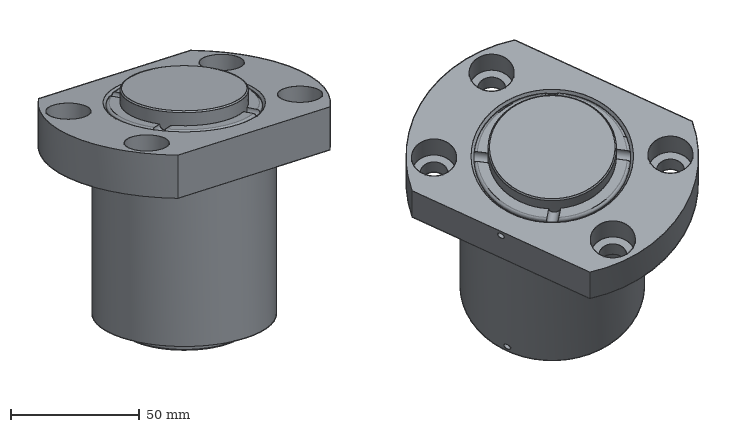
import cadquery as cq
import math

total_height = 100.0
shaft_diameter = 50.0
shaft_overhang = 6.0
shaft_chamfer = 0.6

body_diameter = 72.0
flange_diameter = 114.0
flange_width = 82.0
flange_thickness = 18.0
body_bottom = shaft_overhang
flange_top = total_height - shaft_overhang
flange_bottom = flange_top - flange_thickness

bolt_circle_radius = 46.0
bolt_angle = 60.0
bolt_hole_diameter = 11.0
counterbore_diameter = 17.5
counterbore_depth = 11.0

recess_top_diameter = 63.3
wiper_diameter = 61.1
rim_fillet = 1.3

groove_count = 4
groove_diameter = 4.6
groove_angle = 20.0
groove_offset = 4.9

screw_hole_diameter = 3.0
screw_hole_inset = 3.0
screw_hole_end_radius = wiper_diameter / 2


def make_nut():
    """Round body under a flange with two flats parallel to the YZ plane."""
    body = cq.Workplane("XY").workplane(offset=body_bottom).circle(body_diameter / 2)
    body = body.extrude(flange_top - body_bottom)
    flange = cq.Workplane("XY").workplane(offset=flange_bottom).circle(flange_diameter / 2)
    flange = flange.extrude(flange_thickness)
    flats = cq.Workplane("XY").box(flange_width, flange_diameter, 2 * total_height)
    return body.union(flange.intersect(flats))


def drill_bolt_holes(nut):
    """Four counterbored holes, mirrored about both centre planes."""
    x = bolt_circle_radius * math.cos(math.radians(bolt_angle))
    y = bolt_circle_radius * math.sin(math.radians(bolt_angle))
    centres = cq.Workplane("XY").workplane(offset=flange_top).rect(2 * x, 2 * y, forConstruction=True)
    holes = centres.vertices().circle(bolt_hole_diameter / 2).extrude(-flange_thickness)
    bores = centres.vertices().circle(counterbore_diameter / 2).extrude(-counterbore_depth)
    return nut.cut(holes).cut(bores)


def make_recess():
    """Ring-shaped cut between a conical outer wall and the rounded rim of the wiper face."""
    outer_radius = recess_top_diameter / 2
    rim_radius = wiper_diameter / 2
    rim_centre = rim_radius - rim_fillet
    rim_bottom = flange_top - rim_fillet
    diagonal = rim_fillet * math.sqrt(0.5)
    profile = cq.Workplane("XZ").moveTo(outer_radius, flange_top).lineTo(rim_radius, rim_bottom)
    profile = profile.threePointArc(
        (rim_centre + diagonal, rim_bottom + diagonal),
        (rim_centre, flange_top),
    )
    return profile.close().revolve(360, (0, 0), (0, 1))


def cut_grooves(nut):
    """Half-round grooves set off the radial direction, equally spaced about Z."""
    radius = groove_diameter / 2
    wiper = cq.Workplane("XY").workplane(offset=flange_bottom).circle(wiper_diameter / 2)
    wiper = wiper.extrude(flange_thickness)
    groove = cq.Workplane("YZ").moveTo(groove_offset - radius, flange_top)
    groove = groove.threePointArc((groove_offset, flange_top - radius), (groove_offset + radius, flange_top))
    groove = groove.close().extrude(wiper_diameter / 2).intersect(wiper)
    for index in range(groove_count):
        angle = groove_angle + index * 360 / groove_count
        nut = nut.cut(groove.rotate((0, 0, 0), (0, 0, 1), angle))
    return nut


def make_screw_hole(height, start_radius):
    """Blind hole running inward along +X from the -X side."""
    hole = cq.Workplane("YZ").workplane(offset=-start_radius).center(0, height)
    return hole.circle(screw_hole_diameter / 2).extrude(start_radius - screw_hole_end_radius)


def make_shaft():
    """Plain shaft with both end edges chamfered."""
    shaft = cq.Workplane("XY").circle(shaft_diameter / 2).extrude(total_height)
    return shaft.edges().chamfer(shaft_chamfer)


nut = drill_bolt_holes(make_nut())
nut = cut_grooves(nut.cut(make_recess()))
nut = nut.cut(make_screw_hole(flange_top - screw_hole_inset, flange_width / 2))
nut = nut.cut(make_screw_hole(body_bottom + screw_hole_inset, body_diameter / 2))

result = nut.union(make_shaft())